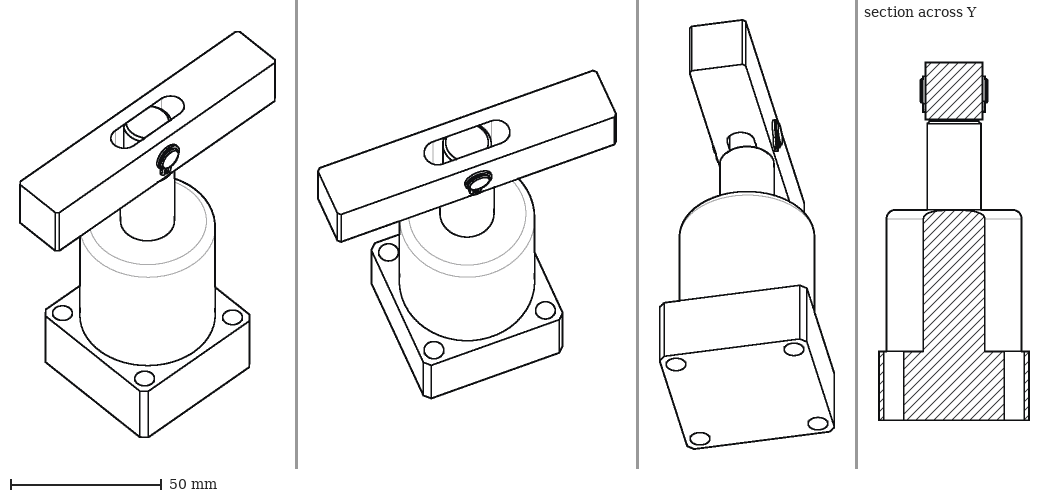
import cadquery as cq

base_side = 50.0
base_height = 23.0
base_corner_chamfer = 2.0
barrel_diameter = 45.0
barrel_top = 70.0
barrel_fillet = 3.0
bolt_spacing = 40.0
bolt_hole_diameter = 6.5

arm_length = 100.0
arm_side = 19.0
arm_top = 119.0
arm_corner_chamfer = 1.0
slot_length = 30.0
slot_width = 9.0
slot_angle = 90

rod_diameter = 18.0
rod_chamfer = 1.0
shoulder_gap = 0.5

pin_diameter = 8.0
pin_length = 22.5
pin_chamfer = 0.5
groove_diameter = 7.6

ring_thickness = 0.8
ring_outer_diameter = 9.4
ring_offset = 0.2
ring_tilt = 11.0
ears_width = 4.2
ears_reach = 7.0
ears_corner_radius = 1.2
ring_gap = 0.8
plier_hole_diameter = 1.8
plier_hole_reach = 5.5
ring_angles = (0, 180)

arm_bottom = arm_top - arm_side
pin_height = arm_bottom + arm_side / 2
shoulder_top = arm_bottom - shoulder_gap
tongue_diameter = rod_diameter - 2 * rod_chamfer


def x_cylinder(diameter, length):
    """Cylinder on the pivot axis, centred on X = 0."""
    return cq.Workplane("YZ").center(0, pin_height).circle(diameter / 2).extrude(length / 2, both=True)


def make_housing():
    """Chamfered base with four through holes, carrying the rounded barrel."""
    base = cq.Workplane("XY").rect(base_side, base_side).extrude(base_height)
    base = base.edges("|Z").chamfer(base_corner_chamfer)
    barrel = cq.Workplane("XY").circle(barrel_diameter / 2).extrude(barrel_top)
    barrel = barrel.faces(">Z").edges().fillet(barrel_fillet)
    bolt_holes = (
        cq.Workplane("XY")
        .rect(bolt_spacing, bolt_spacing, forConstruction=True)
        .vertices()
        .circle(bolt_hole_diameter / 2)
        .extrude(base_height)
    )
    return base.cut(bolt_holes).union(barrel)


def make_rod():
    """Round rod standing on the barrel, narrowed to a cross-drilled tongue inside the arm."""
    shaft = cq.Workplane("XY", origin=(0, 0, barrel_top)).circle(rod_diameter / 2)
    shaft = shaft.extrude(shoulder_top - barrel_top).faces(">Z").edges().chamfer(rod_chamfer)
    tongue_height = arm_top - shoulder_top
    tongue = cq.Workplane("XY", origin=(0, 0, shoulder_top)).circle(tongue_diameter / 2)
    tongue = tongue.extrude(tongue_height).faces(">Z").edges().chamfer(rod_chamfer)
    flats = cq.Workplane("XY", origin=(0, 0, shoulder_top)).rect(slot_width, rod_diameter)
    flats = flats.extrude(tongue_height)
    return shaft.union(tongue.intersect(flats)).cut(x_cylinder(pin_diameter, arm_side))


def make_arm():
    """Square bar with a vertical slot for the tongue and a cross hole for the pin."""
    bar = cq.Workplane("XY", origin=(0, 0, arm_bottom)).rect(arm_side, arm_length).extrude(arm_side)
    bar = bar.edges("|Z").chamfer(arm_corner_chamfer)
    slot = cq.Workplane("XY", origin=(0, 0, arm_bottom)).slot2D(slot_length, slot_width, slot_angle)
    slot = slot.extrude(arm_side)
    return bar.cut(slot).cut(x_cylinder(pin_diameter, arm_side))


def make_pin():
    """Chamfered pin with a retaining groove near each end."""
    pin = x_cylinder(pin_diameter, pin_length).faces("<X or >X").edges().chamfer(pin_chamfer)
    groove_span = arm_side + 2 * ring_thickness
    grooves = x_cylinder(pin_diameter, groove_span).cut(x_cylinder(groove_diameter, groove_span))
    grooves = grooves.cut(x_cylinder(pin_diameter, arm_side))
    return pin.cut(grooves)


def make_ring(angle):
    """Snap ring against the -X face of the arm, turned about the Z axis by angle degrees."""
    plane = cq.Workplane("YZ", origin=(-arm_side / 2 - ring_thickness, 0, pin_height))
    band = plane.center(0, ring_offset).circle(ring_outer_diameter / 2).extrude(ring_thickness)
    ears = plane.center(0, -ears_reach / 2).rect(ears_width, ears_reach).extrude(ring_thickness)
    ears = ears.edges("|X and <Z").fillet(ears_corner_radius)
    gap = plane.center(0, -ears_reach / 2).rect(ring_gap, ears_reach).extrude(ring_thickness)
    plier_hole = plane.center(0, -plier_hole_reach).circle(plier_hole_diameter / 2).extrude(ring_thickness)
    bore = plane.circle(groove_diameter / 2).extrude(ring_thickness)
    ring = band.union(ears).cut(gap).cut(plier_hole).cut(bore)
    ring = ring.rotate((0, 0, pin_height), (1, 0, pin_height), ring_tilt)
    return ring.rotate((0, 0, 0), (0, 0, 1), angle)


housing = make_housing()
rod = make_rod()
arm = make_arm()
pin = make_pin()
rings = [make_ring(angle) for angle in ring_angles]

result = cq.Compound.makeCompound(
    [housing.val(), rod.val(), arm.val(), pin.val(), *[ring.val() for ring in rings]]
)